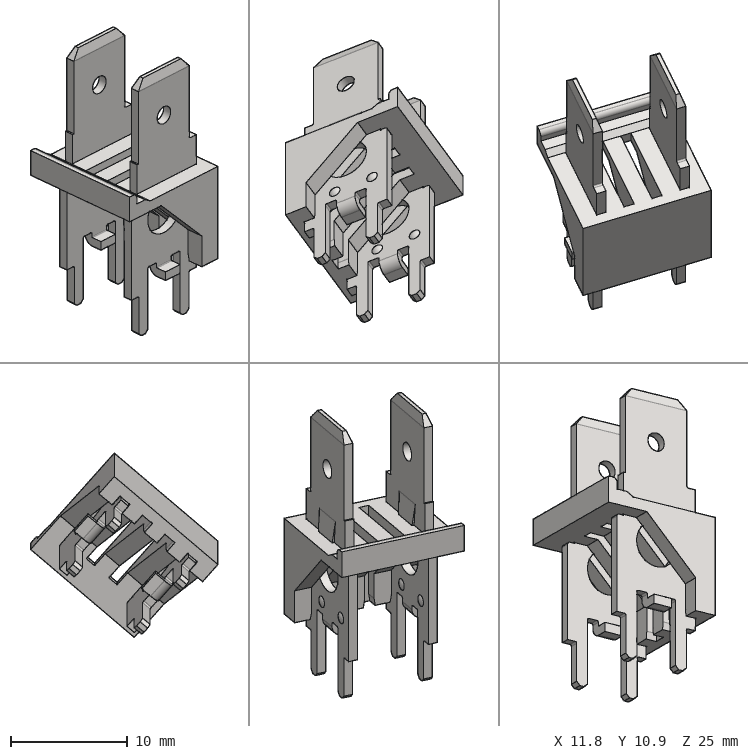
import cadquery as cq


slot_pitch = 2.55
slot_count = 4
terminal_slots = (0, 3)
sheet = 0.85
terminal_back = 4.0

housing_length = 11.75
housing_depth = 10.9
housing_back = 4.98
housing_front = housing_back - housing_depth
housing_bottom = 5.05
housing_top = 14.1
plate_bottom = 13.08
wall_front = 2.98
gusset_front = -2.02
gusset_bottom = plate_bottom - (wall_front - gusset_front)
ramp_start = -3.4
ramp_end = -4.05
ledge_top = 14.48
lip_back = -5.05
lip_top = 15.5
lip_round = 0.45
empty_slot_width = 0.92
lead_in_mouth = 1.12
lead_in_height = 0.68

blade_half = 3.15
tip_z = 25.0
tip_taper_height = 0.92
tip_half = 2.35
tip_thickness = 0.38
latch_hole_diameter = 1.65
latch_hole_z = 20.5
neck_top = 16.98
neck_front = -3.32
body_front = -4.02
body_top = 13.0
body_bottom = 3.98
body_corner_radius = 0.22
window_diameter = 4.0
window_z = 11.0
leg_inner = 1.98
leg_outer = 3.1
leg_chamfer = 0.32
leg_gap_top = 6.4
corner_fillet = 0.15
foot_half = 0.9
foot_bend_radius = 0.9
foot_reach = 1.48
lance_top = 16.15
lance_top_half = 1.52
lance_bottom_half = 1.3
lance_height = 0.2
bump_diameter = 1.02
bump_height = 0.18
bump_z = 7.5
bump_places = (1.08, -2.55)


def slot_x(index):
    """Middle of a slot along X, counted from -X."""
    return (index - (slot_count - 1) / 2) * slot_pitch


def slab(outline, half_width):
    """Prism of a closed (Y, Z) sketch, centred on X = 0."""
    return outline.extrude(half_width, both=True)


def box(x_range, y_range, z_range):
    """Box given by its limits."""
    size = [high - low for low, high in (x_range, y_range, z_range)]
    return cq.Workplane().box(*size, centered=False).translate((x_range[0], y_range[0], z_range[0]))


def make_slot(width):
    """Through slot of the given width, flared at the underside."""
    half = width / 2
    flare = lead_in_mouth / 2
    outline = [
        (-flare, housing_bottom),
        (flare, housing_bottom),
        (half, housing_bottom + lead_in_height),
        (half, lip_top),
        (-half, lip_top),
        (-half, housing_bottom + lead_in_height),
    ]
    slot_length = terminal_back - ramp_start
    return (
        cq.Workplane("XZ", origin=(0, terminal_back, 0)).polyline(outline).close().extrude(slot_length)
    )


def make_housing():
    """Angle-shaped housing with an upturned front lip and four slots."""
    profile = (
        cq.Workplane("YZ")
        .moveTo(housing_back, housing_bottom)
        .lineTo(housing_back, housing_top)
        .lineTo(ramp_start, housing_top)
        .lineTo(ramp_end, ledge_top)
        .lineTo(lip_back, ledge_top)
        .lineTo(lip_back, lip_top - lip_round)
        .radiusArc((lip_back - lip_round, lip_top), -lip_round)
        .lineTo(housing_front, lip_top)
        .lineTo(housing_front, plate_bottom)
        .lineTo(gusset_front, plate_bottom)
        .lineTo(wall_front, gusset_bottom)
        .lineTo(wall_front, housing_bottom)
        .close()
    )
    housing = slab(profile, housing_length / 2)
    for index in range(slot_count):
        width = sheet if index in terminal_slots else empty_slot_width
        housing = housing.cut(make_slot(width).translate((slot_x(index), 0, 0)))
    return housing


def make_blade():
    """Plug-in blade with a tip tapered on all four sides and a latch hole."""
    shank_top = tip_z - tip_taper_height
    shank = box((-sheet / 2, sheet / 2), (-blade_half, blade_half), (neck_top, shank_top))
    tip = (
        cq.Workplane(origin=(0, 0, shank_top))
        .rect(sheet, 2 * blade_half)
        .workplane(offset=tip_taper_height)
        .rect(tip_thickness, 2 * tip_half)
        .loft(ruled=True)
    )
    latch_hole = slab(cq.Workplane("YZ").center(0, latch_hole_z).circle(latch_hole_diameter / 2), sheet)
    return shank.union(tip).cut(latch_hole)


def make_body():
    """Flat terminal body with its neck, round window and the gap between the legs."""
    half = sheet / 2
    neck = box((-half, half), (neck_front, terminal_back), (body_top, neck_top))
    body = box((-half, half), (body_front, terminal_back), (body_bottom, body_top))
    body = body.edges("|X and >Z and <Y").fillet(body_corner_radius)
    leg_gap = box((-half, half), (-leg_inner, leg_inner), (body_bottom, leg_gap_top))
    window = slab(cq.Workplane("YZ").center(0, window_z).circle(window_diameter / 2), sheet)
    return body.cut(leg_gap).union(neck).cut(window)


def make_leg():
    """Solder leg on the +Y side with a chamfered end."""
    leg = box((-sheet / 2, sheet / 2), (leg_inner, leg_outer), (0, leg_gap_top))
    return leg.edges("|X and <Z").chamfer(leg_chamfer)


def make_foot():
    """Tab between the legs that bends through 90 degrees towards +X."""
    half = sheet / 2
    inner_radius = foot_bend_radius - sheet
    bend_x = foot_bend_radius - half
    bend_z = housing_bottom + foot_bend_radius
    return (
        cq.Workplane("XZ", origin=(0, foot_half, 0))
        .moveTo(-half, leg_gap_top)
        .lineTo(-half, bend_z)
        .radiusArc((bend_x, housing_bottom), -foot_bend_radius)
        .lineTo(foot_reach, housing_bottom)
        .lineTo(foot_reach, housing_bottom + sheet)
        .lineTo(bend_x, housing_bottom + sheet)
        .radiusArc((half, bend_z), inner_radius)
        .lineTo(half, leg_gap_top)
        .close()
        .extrude(2 * foot_half)
    )


def make_lance():
    """Wedge that rises from the -X face and narrows downwards to the housing."""
    wedge = (
        cq.Workplane("XZ", origin=(0, lance_top_half, 0))
        .polyline([
            (-sheet / 2, lance_top),
            (-sheet / 2 - lance_height, housing_top),
            (-sheet / 2, housing_top),
        ])
        .close()
        .extrude(2 * lance_top_half)
    )
    face = slab(
        cq.Workplane("YZ")
        .polyline([
            (-lance_top_half, lance_top),
            (lance_top_half, lance_top),
            (lance_bottom_half, housing_top),
            (-lance_bottom_half, housing_top),
        ])
        .close(),
        sheet,
    )
    return wedge.intersect(face)


def make_bump():
    """Spherical cap on the -X face, centred on Y = 0."""
    rim = bump_diameter / 2
    sphere_radius = (rim**2 + bump_height**2) / (2 * bump_height)
    face_x = -sheet / 2
    peak_x = face_x - bump_height
    return (
        cq.Workplane("XZ", origin=(0, 0, bump_z))
        .moveTo(face_x, 0)
        .lineTo(peak_x, 0)
        .radiusArc((face_x, rim), sphere_radius)
        .close()
        .revolve(360, (0, 0), (1, 0))
    )


def fillet_inner_corners(terminal):
    """Small rounds where the blade, legs and foot meet the body."""
    corners = [(blade_half, neck_top)]
    for side in (-1, 1):
        corners += [
            (side * leg_outer, body_bottom),
            (side * leg_inner, leg_gap_top),
            (side * foot_half, leg_gap_top),
        ]
    for y, z in corners:
        corner = cq.selectors.NearestToPointSelector((0, y, z))
        terminal = terminal.edges("|X").edges(corner).fillet(corner_fillet)
    return terminal


def make_terminal():
    """Complete terminal, centred on X = 0."""
    leg = make_leg()
    terminal = make_body().union(make_blade()).union(leg).union(leg.mirror("XZ")).union(make_foot())
    terminal = fillet_inner_corners(terminal.clean())
    terminal = terminal.union(make_lance())
    for y in bump_places:
        terminal = terminal.union(make_bump().translate((0, y, 0)))
    return terminal


housing = make_housing()
terminals = [make_terminal().translate((slot_x(index), 0, 0)) for index in terminal_slots]

result = cq.Compound.makeCompound([housing.val(), *[terminal.val() for terminal in terminals]])